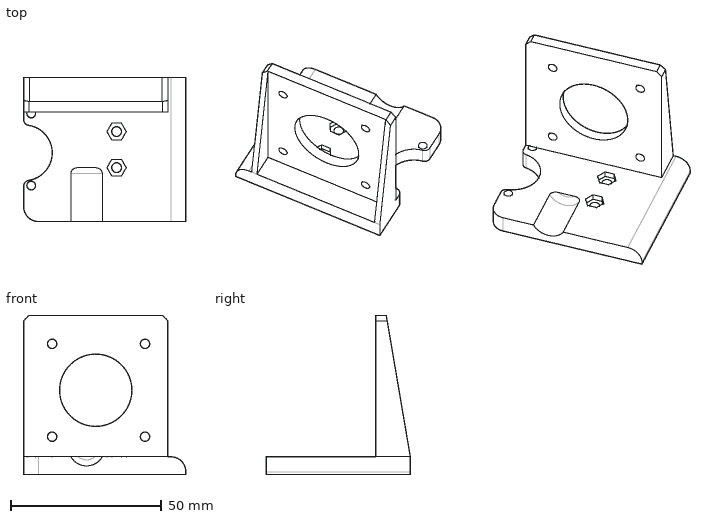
import cadquery as cq
import math

length = 54.0
depth = 48.0
height = 53.0
base_thickness = 6.0
edge_round = 5.0
corner_radius = 5.0

wall_width = 48.0
wall_front = 36.45
wall_thickness = 3.55
wall_back = wall_front + wall_thickness
gusset_thickness = 2.0
top_chamfer_width = 1.8
top_chamfer_height = 1.8

bore_diameter = 24.0
bore_x = wall_width / 2
motor_center_z = 28.1
motor_holes_center_x = 24.95
motor_hole_pitch = 30.9
motor_hole_diameter = 3.0

notch_radius = 9.25
notch_x = 0.25
notch_y = 22.9
notch_fillet = 2.0
side_hole_diameter = 2.8
side_hole_x = 2.55
side_hole_pitch = 24.0

nut_x = 30.95
nut_center_y = 24.0
nut_pitch = 12.0
nut_corner_diameter = 6.4
nut_depth = 2.0
nut_hole_diameter = 3.2

trough_x = 20.95
trough_radius = 6.0
trough_axis_z = base_thickness + 2.9
trough_length = 18.0
trough_end_fillet = 2.0


def make_base():
    plate = cq.Workplane("XY").box(length, depth, base_thickness, centered=False)
    plate = plate.edges("|Y and >X and >Z").fillet(edge_round)
    return plate.edges("|Z and <X and <Y").fillet(corner_radius)


def make_wall():
    """Side profile of wall and gussets, hollowed between the gussets, with chamfered top corners."""
    side_profile = [
        (wall_front, 0),
        (depth, 0),
        (depth, base_thickness),
        (wall_back, height),
        (wall_front, height),
    ]
    wall = cq.Workplane("YZ").polyline(side_profile).close().extrude(wall_width)
    hollow = cq.Workplane("XY").box(
        wall_width - 2 * gusset_thickness, depth - wall_back, height, centered=False
    ).translate((gusset_thickness, wall_back, base_thickness))
    front_outline = (
        cq.Workplane("XZ")
        .moveTo(0, 0)
        .lineTo(wall_width, 0)
        .lineTo(wall_width, height - top_chamfer_height)
        .lineTo(wall_width - top_chamfer_width, height)
        .lineTo(top_chamfer_width, height)
        .lineTo(0, height - top_chamfer_height)
        .close()
        .extrude(-depth)
    )
    return wall.cut(hollow).intersect(front_outline)


def make_wall_holes():
    plane = cq.Workplane("XZ")
    bore = plane.center(bore_x, motor_center_z).circle(bore_diameter / 2).extrude(-depth)
    screws = (
        plane.center(motor_holes_center_x, motor_center_z)
        .rect(motor_hole_pitch, motor_hole_pitch, forConstruction=True)
        .vertices()
        .circle(motor_hole_diameter / 2)
        .extrude(-depth)
    )
    return bore.union(screws)


def make_notch():
    """Arc tangent to a fillet at each end; the fillets are tangent to the left edge."""
    center_distance = notch_radius + notch_fillet
    fillet_offset = math.sqrt(center_distance**2 - (notch_fillet - notch_x) ** 2)
    tangent_x = notch_x + (notch_fillet - notch_x) * notch_radius / center_distance
    tangent_offset = fillet_offset * notch_radius / center_distance
    start_angle = math.pi
    end_angle = math.atan2(fillet_offset, notch_fillet - notch_x) + math.pi
    middle_angle = (start_angle + end_angle) / 2
    middle_x = notch_fillet * (1 + math.cos(middle_angle))
    middle_offset = fillet_offset + notch_fillet * math.sin(middle_angle)
    return (
        cq.Workplane("XY")
        .moveTo(0, notch_y - fillet_offset)
        .threePointArc((middle_x, notch_y - middle_offset), (tangent_x, notch_y - tangent_offset))
        .threePointArc((notch_x + notch_radius, notch_y), (tangent_x, notch_y + tangent_offset))
        .threePointArc((middle_x, notch_y + middle_offset), (0, notch_y + fillet_offset))
        .close()
        .extrude(base_thickness)
    )


def make_side_holes():
    return (
        cq.Workplane("XY")
        .center(side_hole_x, depth / 2)
        .rarray(0.55, side_hole_pitch, 1, 2)
        .circle(side_hole_diameter / 2)
        .extrude(base_thickness)
    )


def make_nut_holes():
    holes = (
        cq.Workplane("XY")
        .center(nut_x, nut_center_y)
        .rarray(0.55, nut_pitch, 1, 2)
        .circle(nut_hole_diameter / 2)
        .extrude(base_thickness)
    )
    pockets = (
        cq.Workplane("XY", origin=(0, 0, base_thickness - nut_depth))
        .center(nut_x, nut_center_y)
        .rarray(0.55, nut_pitch, 1, 2)
        .polygon(6, nut_corner_diameter)
        .extrude(nut_depth)
    )
    return holes.union(pockets)


def make_trough():
    return (
        cq.Workplane("XZ")
        .center(trough_x, trough_axis_z)
        .circle(trough_radius)
        .extrude(-trough_length)
        .faces(">Y")
        .edges()
        .fillet(trough_end_fillet)
    )


base = make_base().cut(make_notch()).cut(make_nut_holes()).cut(make_trough())
wall = make_wall().cut(make_wall_holes())
result = base.union(wall).cut(make_side_holes())